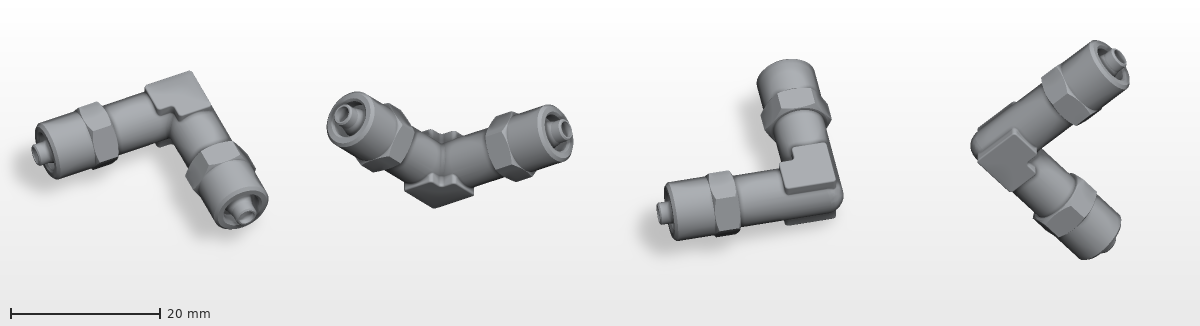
import cadquery as cq
import math

pipe_diameter = 7.0
outer_bend_radius = 2.0
inner_bend_radius = 0.4

hex_start = 11.0
hex_end = 14.5
collar_end = 20.0
spigot_end = 21.5

hex_across_flats = 8.0
hex_end_face_diameter = 7.8
hex_chamfer_angle = 30.0

collar_diameter = 8.0
collar_chamfer = 0.4
socket_diameter = 5.15
socket_depth = 1.75
socket_chamfer = 0.3

spigot_diameter = 3.0
spigot_root_diameter = 4.0
spigot_cone_end = collar_end
spigot_tip_chamfer = 0.2
bore_diameter = 2.2
bore_depth = 10.0
bore_tip_angle = 118.0

pad_half_width = 2.4
pad_reach = 4.6
pad_height = hex_across_flats / 2
pad_corner_radius = 0.5
pad_edge_radius = 0.2
pad_foot_radius = 0.2

pipe_radius = pipe_diameter / 2
hex_corner_radius = hex_across_flats / math.sqrt(3)


def revolve_about_x(points):
    """Solid of revolution about X from (station, radius) points."""
    return cq.Workplane("XY").polyline(points).close().revolve(360, (0, 0, 0), (1, 0, 0))


def both_arms(arm):
    """The arm along +X together with its mirror image along -Y."""
    return arm, arm.mirror(cq.Vector(1, 1, 0))


def mitred_pipe():
    """Pipe along +X, cut at 45 degrees where it meets the other pipe."""
    start_plane = cq.Workplane("YZ").workplane(offset=-pipe_diameter)
    pipe = start_plane.transformed(rotate=(0, 0, 90)).circle(pipe_radius)
    pipe = pipe.extrude(pipe_diameter + hex_start)
    keep = (
        cq.Workplane("XY")
        .moveTo(-pipe_diameter, pipe_diameter)
        .lineTo(hex_start, pipe_diameter)
        .lineTo(hex_start, -pipe_diameter)
        .lineTo(pipe_diameter, -pipe_diameter)
        .close()
        .extrude(pipe_diameter, both=True)
    )
    return pipe.intersect(keep)


def pads():
    """L-shaped block reaching from the lower pad face to the upper one."""
    block = (
        cq.Workplane("XY")
        .workplane(offset=-pad_height)
        .moveTo(-pad_half_width, pad_half_width)
        .lineTo(pad_reach, pad_half_width)
        .lineTo(pad_reach, -pad_half_width)
        .lineTo(pad_half_width, -pad_half_width)
        .lineTo(pad_half_width, -pad_reach)
        .lineTo(-pad_half_width, -pad_reach)
        .close()
        .extrude(2 * pad_height)
    )
    return block.edges("|Z").fillet(pad_corner_radius)


def edges_within(body, low, high):
    """Edges, other than vertical ones, whose centre lies in the box between two corners."""
    return body.edges(cq.selectors.BoxSelector(low, high)).edges("not |Z")


def round_bend_outside(body):
    """Round the outer mitre edge left exposed between the two pads."""
    low = (-pipe_radius, pad_half_width, -pipe_radius / 2)
    high = (-pad_half_width, pipe_radius, pipe_radius / 2)
    return edges_within(body, low, high).fillet(outer_bend_radius)


def round_bend_inside(body):
    """Round the inner mitre edge left exposed between the two pads."""
    low = (pad_half_width, -pipe_radius, -pipe_radius / 2)
    high = (pipe_radius, -pad_half_width, pipe_radius / 2)
    return edges_within(body, low, high).edges("%ELLIPSE").fillet(inner_bend_radius)


def round_pad_feet(body):
    """Round the edges where the pad walls rise from the pipes."""
    span = pad_reach + pad_foot_radius
    foot_low = pipe_radius / 2
    foot_high = pipe_radius
    upper_feet = edges_within(body, (-span, -span, foot_low), (span, span, foot_high))
    lower_feet = edges_within(body, (-span, -span, -foot_high), (span, span, -foot_low))
    return upper_feet.add(lower_feet).fillet(pad_foot_radius)


def elbow():
    """Mitred pipes with the pads, rounded at the bend, the pad feet and the pad rims."""
    along_x, along_y = both_arms(mitred_pipe())
    body = along_x.union(along_y).union(pads())
    body = round_bend_outside(body)
    body = round_bend_inside(body)
    body = round_pad_feet(body)
    return body.faces("|Z").edges().fillet(pad_edge_radius)


def hexagon():
    """Hexagon with a flat facing +Z and conical corner chamfers."""
    chamfer_radial = hex_corner_radius - hex_end_face_diameter / 2
    chamfer_length = chamfer_radial * math.tan(math.radians(hex_chamfer_angle))
    prism = (
        cq.Workplane("YZ")
        .workplane(offset=hex_start)
        .polygon(6, 2 * hex_corner_radius)
        .extrude(hex_end - hex_start)
    )
    envelope = revolve_about_x([
        (hex_start, 0),
        (hex_start, hex_end_face_diameter / 2),
        (hex_start + chamfer_length, hex_corner_radius),
        (hex_end - chamfer_length, hex_corner_radius),
        (hex_end, hex_end_face_diameter / 2),
        (hex_end, 0),
    ])
    return prism.intersect(envelope)


def collar_and_spigot():
    """Turned end of an arm: collar, socket and hose spigot."""
    collar_radius = collar_diameter / 2
    socket_radius = socket_diameter / 2
    spigot_radius = spigot_diameter / 2
    socket_floor = collar_end - socket_depth
    return revolve_about_x([
        (hex_end, 0),
        (hex_end, collar_radius),
        (collar_end - collar_chamfer, collar_radius),
        (collar_end, collar_radius - collar_chamfer),
        (collar_end, socket_radius + socket_chamfer),
        (collar_end - socket_chamfer, socket_radius),
        (socket_floor, socket_radius),
        (socket_floor, spigot_root_diameter / 2),
        (spigot_cone_end, spigot_radius),
        (spigot_end - spigot_tip_chamfer, spigot_radius),
        (spigot_end, spigot_radius - spigot_tip_chamfer),
        (spigot_end, 0),
    ])


def bore():
    """Blind bore from the spigot tip with a conical bottom."""
    bore_radius = bore_diameter / 2
    tip_length = bore_radius / math.tan(math.radians(bore_tip_angle / 2))
    bore_bottom = spigot_end - bore_depth
    return revolve_about_x([
        (bore_bottom - tip_length, 0),
        (bore_bottom, bore_radius),
        (spigot_end, bore_radius),
        (spigot_end, 0),
    ])


def arm_end():
    """Hexagon, collar and spigot at the end of the arm along +X."""
    return hexagon().union(collar_and_spigot())


result = elbow()
for fitting in both_arms(arm_end()):
    result = result.union(fitting)
for hole in both_arms(bore()):
    result = result.cut(hole)